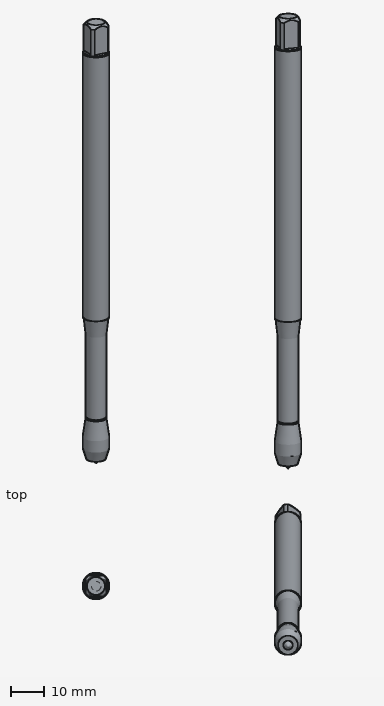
import cadquery as cq

TOTAL_LENGTH = 141.5
POINT_BASE_Z = 1.5
LAND_BOTTOM_Z = 5.0
LAND_TOP_Z = 8.6
HEAD_SHOULDER_Z = 14.6
HEAD_TOP_Z = 15.0
TAPER_BOTTOM_Z = 41.5
TAPER_TOP_Z = 47.0
SQUARE_LENGTH = 9.6
SHANK_TOP_Z = TOTAL_LENGTH - SQUARE_LENGTH

POINT_DIAMETER = 2.8
NOSE_DIAMETER = 6.0
LAND_DIAMETER = 8.0
HEAD_SPIGOT_DIAMETER = 6.0
NECK_DIAMETER = 6.4
HEAD_SHOULDER_DIAMETER = NECK_DIAMETER
TAPER_TOP_DIAMETER = 7.6
SHANK_DIAMETER = 8.0
SHANK_TOP_DIAMETER = 7.6
SQUARE_CORNER_DIAMETER = SHANK_TOP_DIAMETER

SQUARE_ACROSS_FLATS = 6.2
SQUARE_END_CHAMFER = 1.1
SQUARE_RUNOUT = 0.4
SHANK_CHAMFER_HEIGHT = 0.3


def revolve_profile(profile):
    """Revolve (diameter, z) stations, listed upwards, about the Z axis."""
    bottom_z = profile[0][1]
    top_z = profile[-1][1]
    points = [(0, bottom_z)]
    points += [(diameter / 2, z) for diameter, z in profile if diameter > 0]
    points.append((0, top_z))
    outline = cq.Workplane("XZ").polyline(points).close()
    return outline.revolve(360, (0, 0, 0), (0, 1, 0))


def make_head():
    """Cutting head: pointed nose, cylindrical land and tapered back."""
    return revolve_profile([
        (0, 0),
        (POINT_DIAMETER, POINT_BASE_Z),
        (NOSE_DIAMETER, POINT_BASE_Z),
        (LAND_DIAMETER, LAND_BOTTOM_Z),
        (LAND_DIAMETER, LAND_TOP_Z),
        (HEAD_SHOULDER_DIAMETER, HEAD_SHOULDER_Z),
        (HEAD_SPIGOT_DIAMETER, HEAD_SHOULDER_Z),
        (HEAD_SPIGOT_DIAMETER, HEAD_TOP_Z),
    ])


def make_square_drive():
    """Round bar with a chamfered end, trimmed to four flats that slope out at the base."""
    bar = (
        cq.Workplane("XY", origin=(0, 0, SHANK_TOP_Z))
        .circle(SQUARE_CORNER_DIAMETER / 2)
        .extrude(SQUARE_LENGTH)
        .faces(">Z")
        .chamfer(SQUARE_END_CHAMFER)
    )
    flats = (
        cq.Workplane("XY", origin=(0, 0, SHANK_TOP_Z))
        .rect(SQUARE_ACROSS_FLATS, SQUARE_ACROSS_FLATS)
        .extrude(SQUARE_LENGTH)
    )
    runout_base = SQUARE_ACROSS_FLATS + 2 * SQUARE_RUNOUT
    runout = (
        cq.Workplane("XY", origin=(0, 0, SHANK_TOP_Z))
        .rect(runout_base, runout_base)
        .workplane(offset=SQUARE_RUNOUT)
        .rect(SQUARE_ACROSS_FLATS, SQUARE_ACROSS_FLATS)
        .loft(ruled=True)
    )
    return bar.intersect(flats.union(runout))


def make_shank():
    """Neck, taper and shank in one piece, ending in the square drive."""
    turned = revolve_profile([
        (NECK_DIAMETER, HEAD_TOP_Z),
        (NECK_DIAMETER, TAPER_BOTTOM_Z),
        (TAPER_TOP_DIAMETER, TAPER_TOP_Z),
        (SHANK_DIAMETER, TAPER_TOP_Z),
        (SHANK_DIAMETER, SHANK_TOP_Z - SHANK_CHAMFER_HEIGHT),
        (SHANK_TOP_DIAMETER, SHANK_TOP_Z),
    ])
    return turned.union(make_square_drive())


head = make_head()
shank = make_shank()

result = cq.Compound.makeCompound([head.val(), shank.val()])